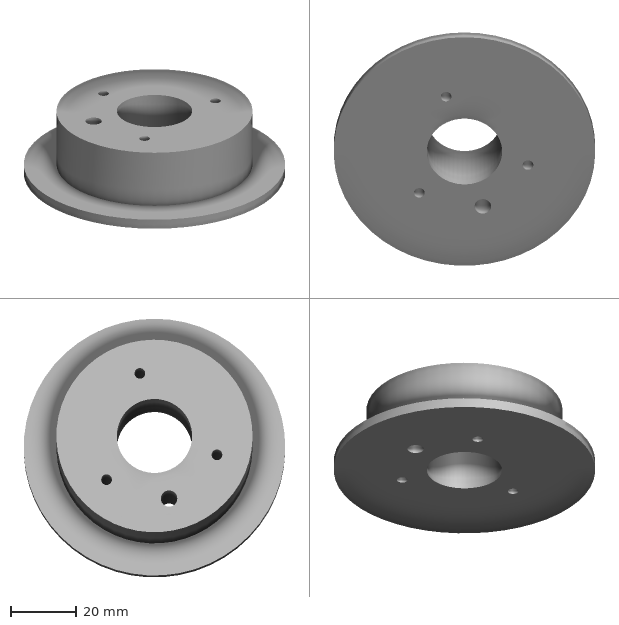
import cadquery as cq

flange_diameter = 80.0
overall_height = 21.0
flange_thickness = 3.0
hub_diameter = 0.75 * flange_diameter

bore_diameter = 23.0
bolt_circle_radius = flange_diameter / 4
small_hole_diameter = 3.3
small_hole_count = 3
small_hole_start_angle = 90
large_hole_diameter = 5.0
large_hole_angle = 270


def stepped_body():
    """Round flange with a concentric hub, both standing on Z = 0."""
    flange = cq.Workplane("XY").circle(flange_diameter / 2).extrude(flange_thickness)
    hub = cq.Workplane("XY").circle(hub_diameter / 2).extrude(overall_height)
    return flange.union(hub)


def bolt_circle_cutter(diameter, start_angle, count):
    """Equally spaced cylinders on the bolt circle, as tall as the part."""
    return (
        cq.Workplane("XY")
        .polarArray(bolt_circle_radius, start_angle, 360, count)
        .circle(diameter / 2)
        .extrude(overall_height)
    )


central_bore = cq.Workplane("XY").circle(bore_diameter / 2).extrude(overall_height)
small_holes = bolt_circle_cutter(small_hole_diameter, small_hole_start_angle, small_hole_count)
large_hole = bolt_circle_cutter(large_hole_diameter, large_hole_angle, 1)

result = stepped_body().cut(central_bore).cut(small_holes).cut(large_hole)